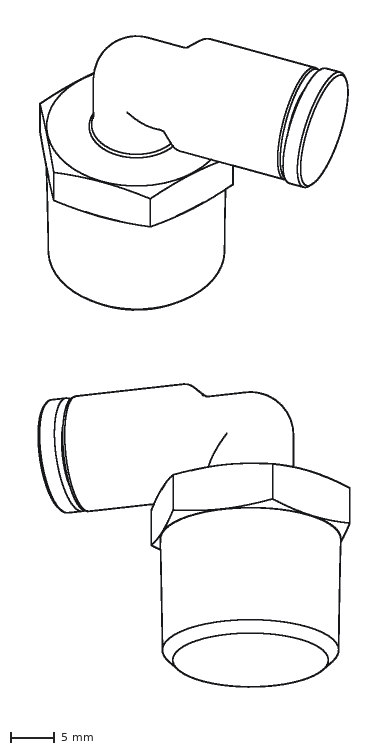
import cadquery as cq
import math

ACROSS_FLATS = 21.0
ACROSS_CORNERS = ACROSS_FLATS / math.cos(math.radians(30))
HEX_BOTTOM = 15.0
HEX_TOP = 20.5
HEX_FACE_RADIUS = 10.43
HEX_CORNER_DROP = 0.57

THREAD_TOP_RADIUS = ACROSS_FLATS / 2
THREAD_BOTTOM_RADIUS = 10.25
THREAD_CHAMFER = 1.2

PIPE_RADIUS = 5.0
COLLAR_RADIUS = 6.75
TOTAL_HEIGHT = 34.6
ARM_HEIGHT = TOTAL_HEIGHT - COLLAR_RADIUS
FLARE_RADIUS = 5.2
FLARE_HEIGHT = 1.45
FOOT_RADIUS = 5.5
FOOT_HEIGHT = 0.3

TOTAL_LENGTH = 35.72
ARM_END = TOTAL_LENGTH - ACROSS_CORNERS / 2
SHOULDER_START = 5.0
SHOULDER_END = 7.0
SHOULDER_FILLET = 1.0
COLLAR_END = 20.8
COLLAR_END_LENGTH = 0.3
COLLAR_END_DEPTH = 0.1
STEM_RADIUS = 4.82

BUTTON_START = 21.5
BUTTON_WIDTH = 15.07
BUTTON_HEIGHT = 13.0
BUTTON_CHAMFER = 0.3


def make_thread():
    """Tapered plug with a 45 degree lead-in at its lower end."""
    profile = [
        (0, 0),
        (THREAD_BOTTOM_RADIUS - THREAD_CHAMFER, 0),
        (THREAD_BOTTOM_RADIUS, THREAD_CHAMFER),
        (THREAD_TOP_RADIUS, HEX_BOTTOM),
        (0, HEX_BOTTOM),
    ]
    return cq.Workplane("XZ").polyline(profile).close().revolve(360, (0, 0), (0, 1))


def make_hexagon():
    """Hexagon with conically trimmed corners on both faces."""
    prism = (
        cq.Workplane("XY", origin=(0, 0, HEX_BOTTOM))
        .polygon(6, ACROSS_CORNERS)
        .extrude(HEX_TOP - HEX_BOTTOM)
    )
    corner_radius = ACROSS_CORNERS / 2
    trim_profile = [
        (0, HEX_BOTTOM),
        (HEX_FACE_RADIUS, HEX_BOTTOM),
        (corner_radius, HEX_BOTTOM + HEX_CORNER_DROP),
        (corner_radius, HEX_TOP - HEX_CORNER_DROP),
        (HEX_FACE_RADIUS, HEX_TOP),
        (0, HEX_TOP),
    ]
    trim = cq.Workplane("XZ").polyline(trim_profile).close().revolve(360, (0, 0), (0, 1))
    return prism.intersect(trim)


def make_riser():
    """Vertical pipe, flared where it meets the hexagon and domed at the elbow."""
    profile = [
        (0, HEX_TOP),
        (FOOT_RADIUS, HEX_TOP),
        (FLARE_RADIUS, HEX_TOP + FOOT_HEIGHT),
        (PIPE_RADIUS, HEX_TOP + FLARE_HEIGHT),
        (PIPE_RADIUS, ARM_HEIGHT),
        (0, ARM_HEIGHT),
    ]
    pipe = cq.Workplane("XZ").polyline(profile).close().revolve(360, (0, 0), (0, 1))
    dome = cq.Workplane("XY", origin=(0, 0, ARM_HEIGHT)).sphere(PIPE_RADIUS)
    return pipe.union(dome)


def make_arm():
    """Horizontal pipe, conical shoulder, collar and stem, turned about the arm axis."""
    shoulder_angle = math.atan2(COLLAR_RADIUS - PIPE_RADIUS, SHOULDER_END - SHOULDER_START)
    setback = SHOULDER_FILLET * math.tan(shoulder_angle / 2)
    half_chord_x = SHOULDER_FILLET * math.sin(shoulder_angle / 2)
    half_sagitta = SHOULDER_FILLET * (1 - math.cos(shoulder_angle / 2))
    full_chord_x = SHOULDER_FILLET * math.sin(shoulder_angle)
    full_rise = SHOULDER_FILLET * (1 - math.cos(shoulder_angle))
    round_start = SHOULDER_START - setback
    round_end = SHOULDER_END + setback
    return (
        cq.Workplane("XZ", origin=(0, 0, ARM_HEIGHT))
        .lineTo(0, PIPE_RADIUS)
        .lineTo(round_start, PIPE_RADIUS)
        .threePointArc(
            (round_start + half_chord_x, PIPE_RADIUS + half_sagitta),
            (round_start + full_chord_x, PIPE_RADIUS + full_rise),
        )
        .lineTo(round_end - full_chord_x, COLLAR_RADIUS - full_rise)
        .threePointArc(
            (round_end - half_chord_x, COLLAR_RADIUS - half_sagitta),
            (round_end, COLLAR_RADIUS),
        )
        .lineTo(COLLAR_END - COLLAR_END_LENGTH, COLLAR_RADIUS)
        .lineTo(COLLAR_END, COLLAR_RADIUS - COLLAR_END_DEPTH)
        .lineTo(COLLAR_END, STEM_RADIUS)
        .lineTo(BUTTON_START, STEM_RADIUS)
        .lineTo(BUTTON_START, 0)
        .close()
        .revolve(360, (0, 0), (1, 0))
    )


def make_button():
    """Elliptical release button, wider along Y, chamfered on its outer face."""
    return (
        cq.Workplane("YZ", origin=(BUTTON_START, 0, ARM_HEIGHT))
        .ellipse(BUTTON_WIDTH / 2, BUTTON_HEIGHT / 2)
        .extrude(ARM_END - BUTTON_START)
        .faces(">X")
        .edges()
        .chamfer(BUTTON_CHAMFER)
    )


result = (
    make_thread()
    .union(make_hexagon())
    .union(make_riser())
    .union(make_arm())
    .union(make_button())
)